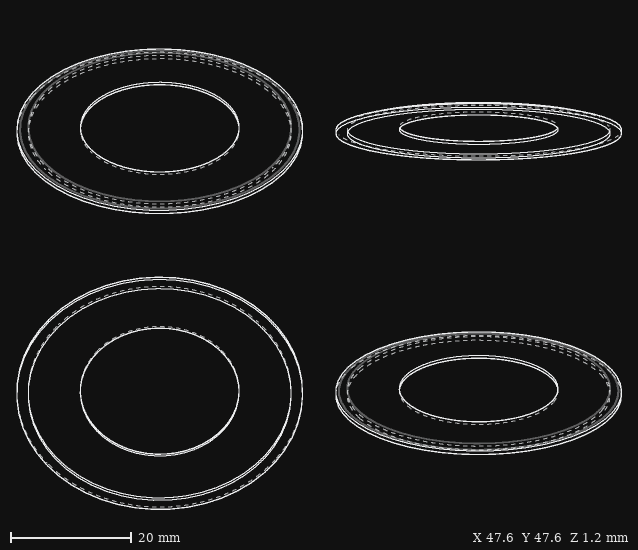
import cadquery as cq

outer_diameter = 47.6
bore_diameter = 26.4
thickness = 1.2
rim_height = 0.65
ledge_width = 0.5
slope_width = 1.4
blend_radius = 0.48
web_thickness = 0.5

bore_radius = bore_diameter / 2
outer_radius = outer_diameter / 2
slope_foot_radius = outer_radius - ledge_width
slope_top_radius = slope_foot_radius - slope_width

section = (
    cq.Workplane("XZ")
    .moveTo(bore_radius, 0)
    .lineTo(outer_radius, 0)
    .lineTo(outer_radius, rim_height)
    .lineTo(slope_foot_radius, rim_height)
    .lineTo(slope_top_radius, thickness)
    .lineTo(bore_radius, thickness)
    .close()
)
washer = section.revolve(360, (0, 0, 0), (0, 1, 0))

blend_edges = [
    edge
    for edge in washer.edges("%CIRCLE").vals()
    if slope_top_radius - blend_radius < edge.radius() < slope_foot_radius + blend_radius
]
washer = washer.newObject(blend_edges).fillet(blend_radius)

recess_depth = thickness - web_thickness
recess = cq.Workplane("XY").circle(slope_top_radius).extrude(recess_depth)
result = washer.cut(recess)